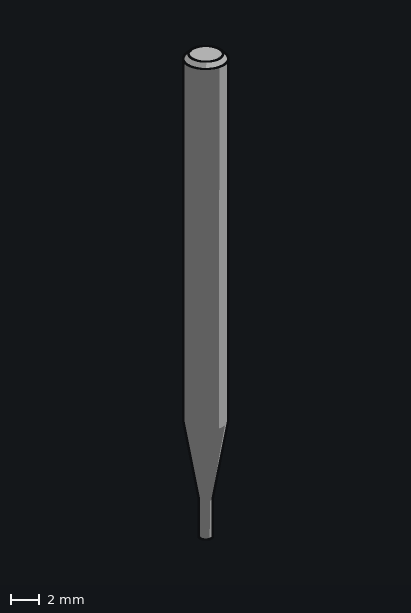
import cadquery as cq
import math

overall_length = 38.1
shank_diameter = 3.175
tip_diameter = 1.0
tip_length = 3.0
cone_half_angle = 10.0
chamfer_size = 0.38

shank_radius = shank_diameter / 2
tip_radius = tip_diameter / 2
cone_length = (shank_radius - tip_radius) / math.tan(math.radians(cone_half_angle))
shank_start = tip_length + cone_length
shank_length = overall_length - shank_start


def make_tip():
    """Slender cylindrical tip standing on the XY plane."""
    return cq.Workplane("XY").circle(tip_radius).extrude(tip_length)


def make_cone():
    """Tapered neck that widens from the tip to the shank."""
    return cq.Workplane("XY").add(
        cq.Solid.makeCone(tip_radius, shank_radius, cone_length, cq.Vector(0, 0, tip_length))
    )


def make_shank():
    """Cylindrical shank with a chamfered upper end."""
    shank = cq.Workplane("XY").workplane(offset=shank_start).circle(shank_radius).extrude(shank_length)
    return shank.faces(">Z").chamfer(chamfer_size)


result = make_tip().union(make_cone()).union(make_shank())